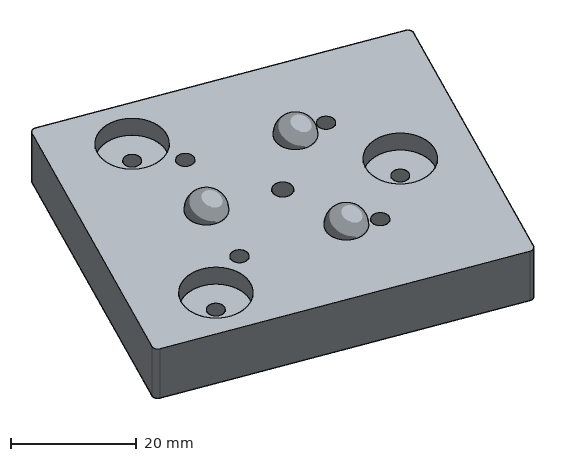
import cadquery as cq
import math

plate_width = 55.0
plate_length = 65.0
total_height = 14.35
corner_radius = 1.0

ball_diameter = 7.15
ball_circle_radius = 13.0
ball_angles = (30, 150, 270)
plate_height = total_height - ball_diameter / 2

counterbore_diameter = 11.8
counterbore_depth = 3.7
mount_hole_diameter = 3.0
rear_mount_y = 20.0
front_mount_offset = 18.5
mount_points = [
    (0, rear_mount_y),
    (-front_mount_offset, -front_mount_offset),
    (front_mount_offset, -front_mount_offset),
]

center_hole_diameter = 3.5
corner_hole_diameter = 3.05
corner_hole_spacing = 24.0


def make_plate():
    plate = cq.Workplane("XY").box(
        plate_width, plate_length, plate_height, centered=(True, True, False)
    )
    return plate.edges("|Z").fillet(corner_radius)


def cut_holes(plate):
    plate = (
        plate.faces(">Z")
        .workplane(origin=(0, 0, plate_height))
        .pushPoints(mount_points)
        .cboreHole(mount_hole_diameter, counterbore_diameter, counterbore_depth)
    )
    top = plate.faces(">Z").workplane(origin=(0, 0, plate_height))
    plate = top.hole(center_hole_diameter)
    top = plate.faces(">Z").workplane(origin=(0, 0, plate_height))
    return top.rarray(corner_hole_spacing, corner_hole_spacing, 2, 2).hole(corner_hole_diameter)


def add_balls(plate):
    for angle in ball_angles:
        x = ball_circle_radius * math.cos(math.radians(angle))
        y = ball_circle_radius * math.sin(math.radians(angle))
        ball = cq.Workplane("XY").sphere(ball_diameter / 2)
        plate = plate.union(ball.translate((x, y, plate_height)))
    return plate


result = add_balls(cut_holes(make_plate()))